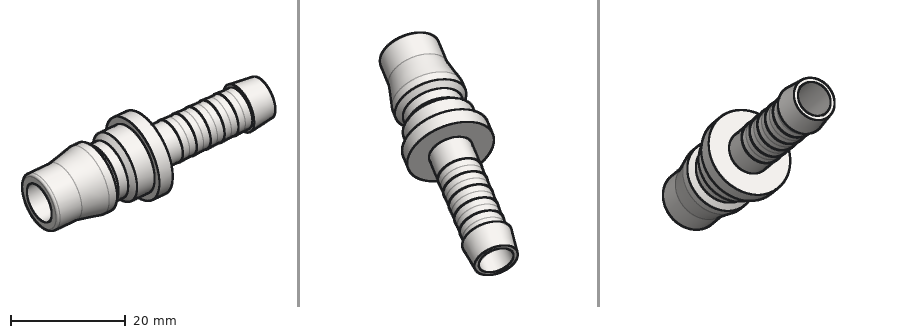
import cadquery as cq


TOTAL_LENGTH = 48.0
TAIL_LENGTH = 25.0
FLANGE_THICKNESS = 2.9

FLANGE_RADIUS = 8.0
BODY_RADIUS = 6.6
TIP_RADIUS = 5.5
TIP_FILLET = 0.5
TIP_LENGTH = 5.2
TAPER_LENGTH = 5.1
LOCKING_BAND_LENGTH = 1.7
GROOVE_FLOOR_LENGTH = 2.1

TAIL_RADIUS = 4.0
HEAD_RADIUS = 4.6
HEAD_LENGTH = 5.0
RIDGE_RADIUS = 4.1
RIDGE_LENGTH = 1.5
RIDGE_PITCH = 3.0
RIDGE_COUNT = 5

PLUG_BORE_RADIUS = 3.7
TAIL_BORE_RADIUS = 3.2

taper_start = TIP_LENGTH
taper_end = taper_start + TAPER_LENGTH
band_end = taper_end + LOCKING_BAND_LENGTH
groove_depth = BODY_RADIUS - TIP_RADIUS
groove_floor_start = band_end + groove_depth
groove_floor_end = groove_floor_start + GROOVE_FLOOR_LENGTH
groove_end = groove_floor_end + groove_depth
flange_end = TOTAL_LENGTH - TAIL_LENGTH
flange_start = flange_end - FLANGE_THICKNESS
head_start = TOTAL_LENGTH - HEAD_LENGTH


def turn(outline):
    """Revolve a closed half outline (X = radius) about the Y axis."""
    return outline.close().revolve(360, (0, 0, 0), (0, 1, 0))


def make_plug():
    """Flange and plug body with its 45 degree locking groove and rounded tip."""
    outline = (
        cq.Workplane("XY")
        .lineTo(TIP_RADIUS, 0)
        .lineTo(TIP_RADIUS, taper_start)
        .lineTo(BODY_RADIUS, taper_end)
        .lineTo(BODY_RADIUS, band_end)
        .lineTo(TIP_RADIUS, groove_floor_start)
        .lineTo(TIP_RADIUS, groove_floor_end)
        .lineTo(BODY_RADIUS, groove_end)
        .lineTo(BODY_RADIUS, flange_start)
        .lineTo(FLANGE_RADIUS, flange_start)
        .lineTo(FLANGE_RADIUS, flange_end)
        .lineTo(0, flange_end)
    )
    return turn(outline).faces("<Y").edges().fillet(TIP_FILLET)


def make_tail():
    """Hose tail: plain tube, a row of conical ridges and a tapered head."""
    outline = (
        cq.Workplane("XY")
        .moveTo(0, flange_end)
        .lineTo(TAIL_RADIUS, flange_end)
    )
    for index in reversed(range(RIDGE_COUNT)):
        ridge_start = head_start - (index + 1) * RIDGE_PITCH
        outline = (
            outline
            .lineTo(TAIL_RADIUS, ridge_start)
            .lineTo(RIDGE_RADIUS, ridge_start)
            .lineTo(TAIL_RADIUS, ridge_start + RIDGE_LENGTH)
        )
    outline = (
        outline
        .lineTo(TAIL_RADIUS, head_start)
        .lineTo(HEAD_RADIUS, head_start)
        .lineTo(TAIL_RADIUS, TOTAL_LENGTH)
        .lineTo(0, TOTAL_LENGTH)
    )
    return turn(outline)


def make_bore():
    """Through bore, wider in the plug and stepping down at the flange."""
    outline = (
        cq.Workplane("XY")
        .lineTo(PLUG_BORE_RADIUS, 0)
        .lineTo(PLUG_BORE_RADIUS, flange_start)
        .lineTo(TAIL_BORE_RADIUS, flange_start)
        .lineTo(TAIL_BORE_RADIUS, TOTAL_LENGTH)
        .lineTo(0, TOTAL_LENGTH)
    )
    return turn(outline)


result = make_plug().union(make_tail()).cut(make_bore())